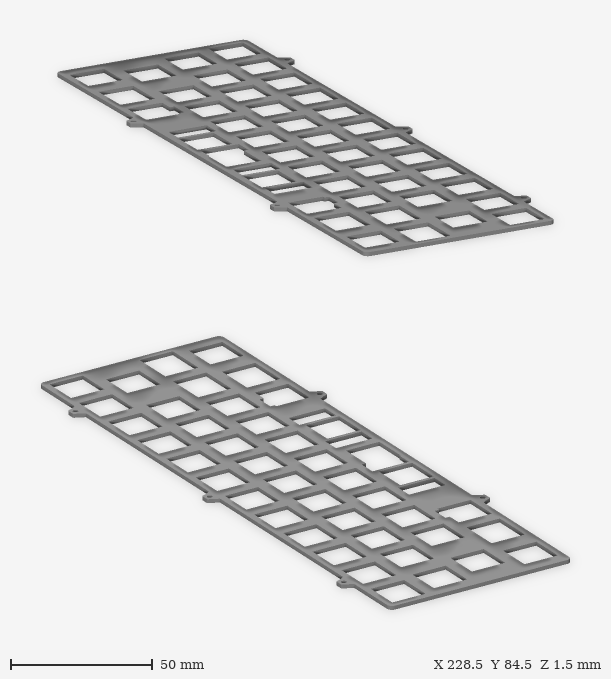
import cadquery as cq

LENGTH = 228.5
OVERALL_DEPTH = 84.5
THICKNESS = 1.5
CORNER_RADIUS = 2.0

COLUMNS = 12
ROWS = 4
GRID_MARGIN = 0.27
KEY_PITCH = (LENGTH - 2 * GRID_MARGIN) / COLUMNS
SWITCH_SIZE = 14.0

STABILIZER_WIDTH = 7.0
STABILIZER_DEPTH = 15.3
STABILIZER_OFFSET_Y = 1.1
SHORT_STABILIZER_OFFSET = 12.0
LONG_STABILIZER_OFFSET = 3 * KEY_PITCH

TAB_HOLE_DIAMETER = 2.0
TAB_HOLE_TO_TIP = 2.0
TAB_TIP_WIDTH = 3.5
TAB_NECK_WIDTH = 5.0
TAB_TIP_RADIUS = 0.7
TAB_PROTRUSION = 4.1
TAB_ROOT_WIDTH = 7.3
BACK_TAB_SPACING = 87.3
FRONT_TAB_OFFSET = 53.0

DEPTH = OVERALL_DEPTH - 2 * TAB_PROTRUSION
TAB_HOLE_Y = OVERALL_DEPTH / 2 - TAB_HOLE_TO_TIP

SWITCH_COLUMNS = [
    [0.5 + i for i in range(12)],
    [0.625] + [1.75 + i for i in range(9)] + [11.125],
    [0.875] + [2.25 + i for i in range(9)] + [10.375, 11.375, 11.52],
    [0.625, 1.75, 1.875, 2.875, 4.875, 6.0, 7.375, 9.125, 10.125, 10.25, 11.375],
]
BOTTOM_ROW = ROWS - 1
SHORT_SPACE_COLUMNS = [4.875, 7.375]
LONG_SPACE_COLUMN = 6.0


def key_center(column, row):
    """Plate position of a key centre given in key units."""
    return ((column - COLUMNS / 2) * KEY_PITCH, ((ROWS - 1) / 2 - row) * KEY_PITCH)


def make_plate():
    return (
        cq.Workplane("XY")
        .rect(LENGTH, DEPTH)
        .extrude(THICKNESS)
        .edges("|Z")
        .fillet(CORNER_RADIUS)
    )


def make_tab(x, side):
    """Tapered tab narrowing at its hole and again to its tip,
    with rounded tip corners; side is +1 at the back and -1 at the front.
    """
    root_y = side * DEPTH / 2
    hole_y = side * TAB_HOLE_Y
    tip_y = side * OVERALL_DEPTH / 2
    outline = [
        (x - TAB_ROOT_WIDTH / 2, root_y),
        (x - TAB_NECK_WIDTH / 2, hole_y),
        (x - TAB_TIP_WIDTH / 2, tip_y),
        (x + TAB_TIP_WIDTH / 2, tip_y),
        (x + TAB_NECK_WIDTH / 2, hole_y),
        (x + TAB_ROOT_WIDTH / 2, root_y),
    ]
    tab = cq.Workplane("XY").polyline(outline).close().extrude(THICKNESS)
    tip_face = ">Y" if side > 0 else "<Y"
    return tab.faces(tip_face).edges("|Z").fillet(TAB_TIP_RADIUS)


def make_openings(centers, width, depth):
    return cq.Workplane("XY").pushPoints(centers).rect(width, depth).extrude(THICKNESS)


def switch_centers():
    return [key_center(column, row) for row, columns in enumerate(SWITCH_COLUMNS) for column in columns]


def stabilizer_centers(column, offset):
    x, y = key_center(column, BOTTOM_ROW)
    return [(x + side * offset, y + STABILIZER_OFFSET_Y) for side in (-1, 1)]


tabs = [(i * BACK_TAB_SPACING, 1) for i in (-1, 0, 1)]
tabs += [(i * FRONT_TAB_OFFSET, -1) for i in (-1, 1)]

stabilizers = stabilizer_centers(LONG_SPACE_COLUMN, LONG_STABILIZER_OFFSET)
for space_column in SHORT_SPACE_COLUMNS:
    stabilizers += stabilizer_centers(space_column, SHORT_STABILIZER_OFFSET)

result = make_plate()
for tab_x, tab_side in tabs:
    result = result.union(make_tab(tab_x, tab_side))

tab_holes = (
    cq.Workplane("XY")
    .pushPoints([(x, side * TAB_HOLE_Y) for x, side in tabs])
    .circle(TAB_HOLE_DIAMETER / 2)
    .extrude(THICKNESS)
)
result = result.cut(tab_holes)

result = result.cut(make_openings(switch_centers(), SWITCH_SIZE, SWITCH_SIZE))
result = result.cut(make_openings(stabilizers, STABILIZER_WIDTH, STABILIZER_DEPTH))